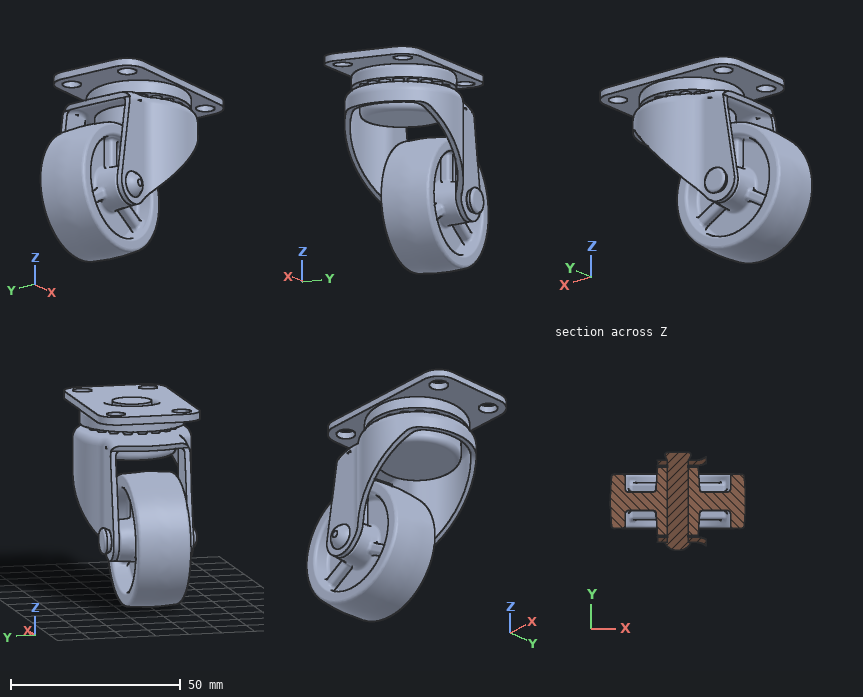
import cadquery as cq
import math

OVERSHOOT = 6.55
TOLERANCE = 0.05

PLATE_LENGTH = 51.1
PLATE_WIDTH = 31.05
PLATE_THICKNESS = 2.3
PLATE_CORNER_RADIUS = 6.0
BOLT_SPACING_X = 39.95
BOLT_SPACING_Y = 20.0
BOLT_HOLE_DIAMETER = 5.6
PLATE_EYE_RADIUS = 7.5
PLATE_EYE_ROUNDING = 1.9

PIN_RADIUS = 5.8
RACE_RADIUS = 15.5
RACE_HEIGHT = 4.25
RACE_ROUNDING = 1.3
BALL_COUNT = 18
BALL_RADIUS = 1.7
BALL_RING_RADIUS = 12.3
BALL_EMBEDDING = 0.1
CUP_RADIUS = 13.0
CUP_BOTTOM_Z = -15.85
CUP_ROUNDING = 1.95

SHEET = 1.65
CROWN_TOP_Z = -7.7
CROWN_RADIUS = 17.5
CROWN_ROUNDING = 3.1
FORK_HALF_WIDTH = 12.1
LEG_BLEND_RADIUS = 4.9
LEG_END_RADIUS = 6.0
LEG_FRONT_LEAN = 9.4
SKIRT_BOTTOM_Z = -14.2
SKIRT_CORNER_X = 11.45
SKIRT_CORNER_ROUNDING = 3.9
BEND_START_X = -16.0
BEND_RADIUS = 9.8
BEND_ANGLE = 18.0
TAB_TIP_X = -23.0
TAB_END_RADIUS = 52.4

AXLE_X = -19.9
AXLE_Z = -37.9
WHEEL_RADIUS = 20.05
TREAD_EDGE_RADIUS = 19.5
WHEEL_HALF_WIDTH = 8.05
RIM_INNER_RADIUS = 15.45
WEB_HALF_THICKNESS = 2.75
HUB_HALF_LENGTH = 10.1
HUB_BASE_RADIUS = 6.55
HUB_END_RADIUS = 6.1
HUB_END_ROUNDING = 0.45
WHEEL_ROUNDING = 1.0
RIB_COUNT = 3
RIB_WIDTH = 3.3
RIB_HALF_HEIGHT = 5.45

AXLE_RADIUS = 3.0
HEAD_HEIGHT = 2.35
HEAD_RADIUS = 3.9
DOME_FLAT_RADIUS = 1.05
PEENED_NECK_RADIUS = 3.3
PEENED_ROUNDING = 0.9


def make_plate():
    plate = (
        cq.Workplane("XY")
        .box(PLATE_LENGTH, PLATE_WIDTH, PLATE_THICKNESS, centered=(True, True, False))
        .translate((0, 0, -PLATE_THICKNESS))
        .edges("|Z")
        .fillet(PLATE_CORNER_RADIUS)
    )
    plate = plate.faces(">Z").workplane().hole(2 * PLATE_EYE_RADIUS)
    largest_circle = cq.selectors.RadiusNthSelector(-1)
    plate = plate.faces(">Z").edges("%CIRCLE").edges(largest_circle).fillet(PLATE_EYE_ROUNDING)
    return (
        plate.faces(">Z")
        .workplane(origin=(0, 0, 0))
        .rarray(BOLT_SPACING_X, BOLT_SPACING_Y, 2, 2)
        .hole(BOLT_HOLE_DIAMETER)
    )


def disc(radius, bottom_z, top_z):
    return cq.Workplane("XY").workplane(offset=bottom_z).circle(radius).extrude(top_z - bottom_z)


def make_bearing():
    race_bottom_z = -PLATE_THICKNESS - RACE_HEIGHT
    race = disc(RACE_RADIUS, race_bottom_z, -PLATE_THICKNESS).faces(">Z").edges().fillet(RACE_ROUNDING)
    ball_centres = cq.Workplane("XY").workplane(offset=race_bottom_z + BALL_EMBEDDING)
    balls = ball_centres.polarArray(BALL_RING_RADIUS, 0, 360, BALL_COUNT).sphere(BALL_RADIUS)
    cup = disc(CUP_RADIUS, CUP_BOTTOM_Z, CROWN_TOP_Z - SHEET).faces("<Z").edges().fillet(CUP_ROUNDING)
    pin = disc(PIN_RADIUS, CUP_BOTTOM_Z, 0)
    return race.union(balls).union(pin).union(cup)


def fork_block(inset):
    """Full-height block with the fork's rounded outer surface, shrunk evenly by the inset."""
    crown_radius = CROWN_RADIUS - inset
    half_width = FORK_HALF_WIDTH - inset
    blend_radius = LEG_BLEND_RADIUS + inset
    front_x = TAB_TIP_X - OVERSHOOT
    bottom_z = AXLE_Z - LEG_END_RADIUS - OVERSHOOT

    blend_y = half_width + blend_radius
    centre_distance = crown_radius + blend_radius
    blend_x = -math.sqrt(centre_distance**2 - blend_y**2)
    touch_x = blend_x * crown_radius / centre_distance
    touch_y = blend_y * crown_radius / centre_distance
    half_turn = math.atan2(-blend_x, blend_y) / 2
    middle_x = blend_x + blend_radius * math.sin(half_turn)
    middle_y = blend_y - blend_radius * math.cos(half_turn)
    plan = (
        cq.Workplane("XY")
        .workplane(offset=bottom_z)
        .moveTo(front_x, -half_width)
        .lineTo(blend_x, -half_width)
        .threePointArc((middle_x, -middle_y), (touch_x, -touch_y))
        .threePointArc((crown_radius, 0), (touch_x, touch_y))
        .threePointArc((middle_x, middle_y), (blend_x, half_width))
        .lineTo(front_x, half_width)
        .close()
        .extrude(-bottom_z)
    )

    crown_z = CROWN_TOP_Z - inset
    bend_radius = BEND_RADIUS - inset
    bend = math.radians(BEND_ANGLE)
    bend_end_x = BEND_START_X - bend_radius * math.sin(bend)
    bend_end_z = crown_z - bend_radius * (1 - math.cos(bend))
    bend_middle_x = BEND_START_X - bend_radius * math.sin(bend / 2)
    bend_middle_z = crown_z - bend_radius * (1 - math.cos(bend / 2))
    front_z = bend_end_z - (bend_end_x - front_x) * math.tan(bend)
    side = (
        cq.Workplane("XZ")
        .moveTo(CROWN_RADIUS, bottom_z)
        .lineTo(CROWN_RADIUS, crown_z)
        .lineTo(BEND_START_X, crown_z)
        .threePointArc((bend_middle_x, bend_middle_z), (bend_end_x, bend_end_z))
        .lineTo(front_x, front_z)
        .lineTo(front_x, bottom_z)
        .close()
        .extrude(CROWN_RADIUS, both=True)
    )
    block = plan.intersect(side)
    crown_edges = block.edges("not |Y").filter(lambda edge: edge.Center().z > SKIRT_BOTTOM_Z)
    return crown_edges.fillet(CROWN_ROUNDING - inset)


def leg_outline():
    """Prism along Y with the side outline of the legs and skirt."""
    lean = math.radians(LEG_FRONT_LEAN)
    front_x = AXLE_X - LEG_END_RADIUS * math.cos(lean)
    front_z = AXLE_Z + LEG_END_RADIUS * math.sin(lean)
    leg_top_z = CROWN_TOP_Z - CROWN_ROUNDING
    run = SKIRT_CORNER_X - AXLE_X
    rise = SKIRT_BOTTOM_Z - AXLE_Z
    slope = math.atan2(run, rise) - math.asin(LEG_END_RADIUS / math.hypot(run, rise))
    back_x = AXLE_X + LEG_END_RADIUS * math.cos(slope)
    back_z = AXLE_Z - LEG_END_RADIUS * math.sin(slope)
    outline = (
        cq.Workplane("XZ")
        .moveTo(BEND_START_X, 0)
        .lineTo(BEND_START_X, leg_top_z)
        .lineTo(front_x + (leg_top_z - front_z) * math.tan(lean), leg_top_z)
        .lineTo(front_x, front_z)
        .threePointArc((AXLE_X, AXLE_Z - LEG_END_RADIUS), (back_x, back_z))
        .lineTo(SKIRT_CORNER_X, SKIRT_BOTTOM_Z)
        .lineTo(CROWN_RADIUS + OVERSHOOT, SKIRT_BOTTOM_Z)
        .lineTo(CROWN_RADIUS + OVERSHOOT, 0)
        .close()
        .extrude(CROWN_RADIUS + OVERSHOOT, both=True)
    )
    skirt_corner = cq.selectors.NearestToPointSelector((SKIRT_CORNER_X, 0, SKIRT_BOTTOM_Z))
    return outline.edges("|Y").edges(skirt_corner).fillet(SKIRT_CORNER_ROUNDING)


def tab_outline():
    """Round disc lying along the bent tab, whose rim forms the curved end of the tab."""
    bend = math.radians(BEND_ANGLE)
    bend_end_x = BEND_START_X - BEND_RADIUS * math.sin(bend)
    bend_end_z = CROWN_TOP_Z - BEND_RADIUS * (1 - math.cos(bend))
    tip_z = bend_end_z - (bend_end_x - TAB_TIP_X) * math.tan(bend)
    tab_plane = cq.Plane(
        origin=(TAB_TIP_X, 0, tip_z),
        xDir=(math.cos(bend), 0, math.sin(bend)),
        normal=(-math.sin(bend), 0, math.cos(bend)),
    )
    tab_end = cq.Workplane(tab_plane).center(TAB_END_RADIUS, 0).circle(TAB_END_RADIUS)
    return tab_end.extrude(CROWN_ROUNDING, both=True)


def make_fork(bearing, axle):
    sheet_shell = fork_block(0).cut(fork_block(SHEET))
    fork = sheet_shell.intersect(leg_outline().union(tab_outline()))
    return fork.cut(bearing).cut(axle)


def spin_about_axle(profile):
    """Revolve a closed profile, drawn as (radius, y), about the axle line."""
    solid = profile.close().revolve(360, (0, 0, 0), (0, 1, 0))
    return solid.translate((AXLE_X, 0, AXLE_Z))


def is_pocket_edge(edge):
    """Edges between hub, web, ribs and rim, except the sharp straight feet of the ribs."""
    centre = edge.Center()
    depth = abs(centre.y)
    radius = math.hypot(centre.x - AXLE_X, centre.z - AXLE_Z)
    in_pocket = WEB_HALF_THICKNESS - TOLERANCE < depth < RIB_HALF_HEIGHT + TOLERANCE
    is_rib_foot = edge.geomType() == "LINE" and depth < WEB_HALF_THICKNESS + TOLERANCE
    return in_pocket and radius < RIM_INNER_RADIUS + TOLERANCE and not is_rib_foot


def is_rim_ring(edge):
    """Circles at the inner and outer edges of the flat rim sides."""
    on_side = abs(abs(edge.Center().y) - WHEEL_HALF_WIDTH) < TOLERANCE
    return on_side and edge.radius() > HUB_BASE_RADIUS


def is_hub_end_ring(edge):
    """Outer circles of the hub ends."""
    at_end = abs(abs(edge.Center().y) - HUB_HALF_LENGTH) < TOLERANCE
    return at_end and edge.radius() > AXLE_RADIUS + TOLERANCE


def make_wheel():
    wheel = spin_about_axle(
        cq.Workplane("XY")
        .moveTo(AXLE_RADIUS, -HUB_HALF_LENGTH)
        .lineTo(HUB_END_RADIUS, -HUB_HALF_LENGTH)
        .lineTo(HUB_BASE_RADIUS, -WEB_HALF_THICKNESS)
        .lineTo(RIM_INNER_RADIUS, -WEB_HALF_THICKNESS)
        .lineTo(RIM_INNER_RADIUS, -WHEEL_HALF_WIDTH)
        .lineTo(TREAD_EDGE_RADIUS, -WHEEL_HALF_WIDTH)
        .threePointArc((WHEEL_RADIUS, 0), (TREAD_EDGE_RADIUS, WHEEL_HALF_WIDTH))
        .lineTo(RIM_INNER_RADIUS, WHEEL_HALF_WIDTH)
        .lineTo(RIM_INNER_RADIUS, WEB_HALF_THICKNESS)
        .lineTo(HUB_BASE_RADIUS, WEB_HALF_THICKNESS)
        .lineTo(HUB_END_RADIUS, HUB_HALF_LENGTH)
        .lineTo(AXLE_RADIUS, HUB_HALF_LENGTH)
    )
    rib_start = (HUB_END_RADIUS + AXLE_RADIUS) / 2
    rib_end = (RIM_INNER_RADIUS + TREAD_EDGE_RADIUS) / 2
    rib = (
        cq.Workplane("XY")
        .box(RIB_WIDTH, 2 * RIB_HALF_HEIGHT, rib_end - rib_start, centered=(True, True, False))
        .translate((0, 0, rib_start))
    )
    for index in range(RIB_COUNT):
        turned = rib.rotate((0, 0, 0), (0, 1, 0), index * 360 / RIB_COUNT)
        wheel = wheel.union(turned.translate((AXLE_X, 0, AXLE_Z)))
    wheel = wheel.edges().filter(is_pocket_edge).fillet(WHEEL_ROUNDING)
    wheel = wheel.edges("%CIRCLE").filter(is_rim_ring).fillet(WHEEL_ROUNDING)
    return wheel.edges("%CIRCLE").filter(is_hub_end_ring).fillet(HUB_END_ROUNDING)


def make_axle():
    dome_y = -FORK_HALF_WIDTH - HEAD_HEIGHT
    centre_depth = (HEAD_RADIUS**2 - DOME_FLAT_RADIUS**2 - HEAD_HEIGHT**2) / (2 * HEAD_HEIGHT)
    sphere_radius = math.hypot(HEAD_RADIUS, centre_depth)
    middle_angle = (
        math.atan2(HEAD_RADIUS, centre_depth)
        + math.atan2(DOME_FLAT_RADIUS, centre_depth + HEAD_HEIGHT)
    ) / 2
    dome_middle = (
        sphere_radius * math.sin(middle_angle),
        -FORK_HALF_WIDTH + centre_depth - sphere_radius * math.cos(middle_angle),
    )
    peened_y = FORK_HALF_WIDTH + HEAD_HEIGHT
    corner_cut = PEENED_ROUNDING * (1 - math.sqrt(0.5))
    return spin_about_axle(
        cq.Workplane("XY")
        .moveTo(0, dome_y)
        .lineTo(DOME_FLAT_RADIUS, dome_y)
        .threePointArc(dome_middle, (HEAD_RADIUS, -FORK_HALF_WIDTH))
        .lineTo(AXLE_RADIUS, -FORK_HALF_WIDTH)
        .lineTo(AXLE_RADIUS, FORK_HALF_WIDTH)
        .lineTo(PEENED_NECK_RADIUS, FORK_HALF_WIDTH)
        .lineTo(HEAD_RADIUS, peened_y - PEENED_ROUNDING)
        .threePointArc(
            (HEAD_RADIUS - corner_cut, peened_y - corner_cut),
            (HEAD_RADIUS - PEENED_ROUNDING, peened_y),
        )
        .lineTo(0, peened_y)
    )


plate = make_plate()
bearing = make_bearing()
axle = make_axle()
wheel = make_wheel()
fork = make_fork(bearing, axle)

bodies = [plate, bearing, fork, wheel, axle]
result = cq.Compound.makeCompound([body.solids().val() for body in bodies])